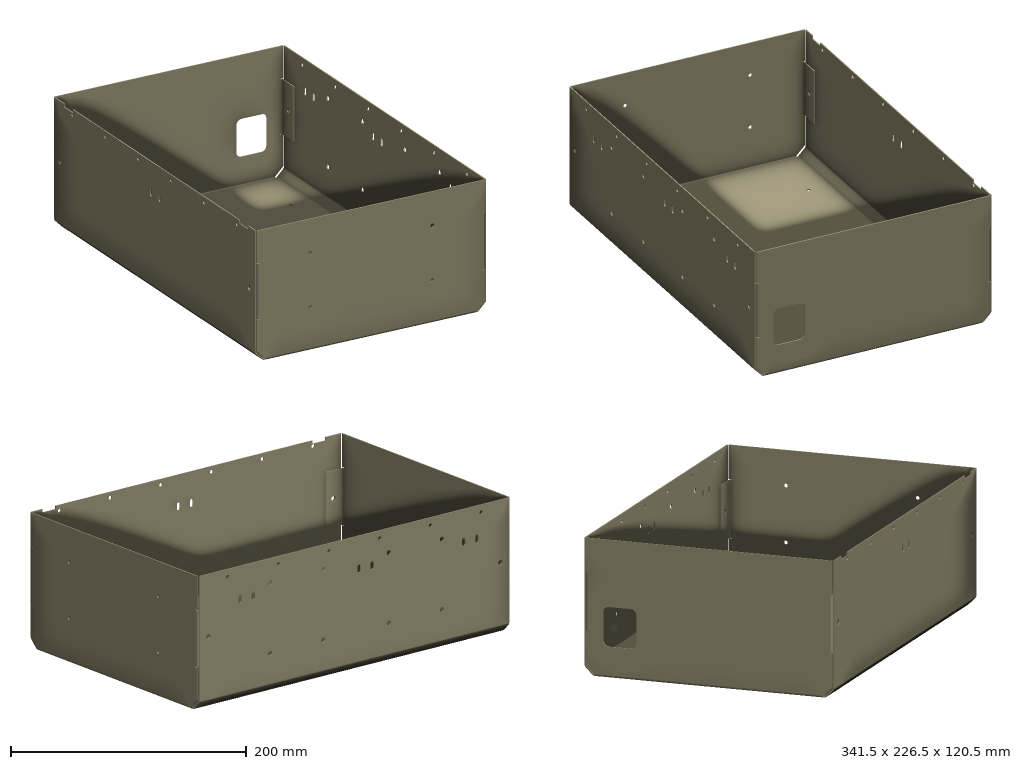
import cadquery as cq
import math

LENGTH = 341.5
WIDTH = 226.5
HEIGHT = 120.5
SHEET = 1.0

SLOPE_LEG = 8.0
TROUGH_INNER_BEND = 1.7
TROUGH_OUTER_BEND = TROUGH_INNER_BEND + SHEET
WALL_END_INSET = 1.5
TROUGH_LENGTH = LENGTH - 2 * WALL_END_INSET

PLATE_SIDE_INSET = 1.5
PLATE_SLOPE_GAP = 1.5
PLATE_INNER_BEND = 1.0
PLATE_OUTER_BEND = PLATE_INNER_BEND + SHEET
PLATE_HALF_WIDTH = WIDTH / 2 - PLATE_SIDE_INSET

TAB_REACH = 19.5
TAB_HEIGHT = 50.5
TAB_Z = HEIGHT - 56.0
RELIEF_HEIGHT = 0.7
RELIEF_DEPTH = 1.0
TAB_STUB = PLATE_OUTER_BEND + RELIEF_DEPTH
TAB_HOLE_X = 159.8
TAB_HOLE_DIAMETER = 4.8

HOLE_DIAMETER = 3.5
RIM_HOLE_COUNT = 6
RIM_HOLE_SPAN = 277.3
RIM_HOLE_PITCH = RIM_HOLE_SPAN / (RIM_HOLE_COUNT - 1)
FRONT_RIM_HOLE_Z = HEIGHT - 5.0
BACK_RIM_HOLE_Z = HEIGHT - 7.0
FLOOR_HOLES_X = 3
FLOOR_HOLES_Y = 2
FLOOR_HOLE_PITCH_X = 111.0
FLOOR_HOLE_PITCH_Y = 169.5
END_HOLE_Z = TAB_Z
END_HOLE_PITCH_Y = 119.5
END_HOLE_PITCH_Z = 50.0

MOUNT_HOLE_DIAMETER = 4.5
MOUNT_GROUP_X = (-66.5, 63.2)
MOUNT_PITCH_X = 58.0
MOUNT_Z = (HEIGHT - 22.0, HEIGHT - 84.7)

SLOT_WIDTH = 3.5
SLOT_HEIGHT = 7.2
SLOT_PITCH = 14.5
FRONT_SLOT_Z = HEIGHT - 28.5
BACK_SLOT_Z = HEIGHT - 29.5
FRONT_SLOT_PAIR_X = (1.5,)
BACK_SLOT_PAIR_X = (-126.7, -12.3, 117.8)

NOTCH_CENTERS_X = (-145.0, 150.0)
NOTCH_WIDTH = 14.7
NOTCH_DEPTH = 3.0

WINDOW_WIDTH = 30.0
WINDOW_HEIGHT = 35.0
WINDOW_RADIUS = 5.0
WINDOW_Y = WIDTH / 2 - 32.5
WINDOW_Z = HEIGHT - 76.0

CUT_DEPTH = 7.0
FRONT = -1
BACK = 1
SIDES = (FRONT, BACK)


def trough_section(inset):
    """Filled Y-Z outline of the trough, moved inward by the inset."""
    half = WIDTH / 2 - inset
    leg = SLOPE_LEG - inset * (2 - math.sqrt(2))
    return [
        (-half, HEIGHT),
        (-half, inset + leg),
        (-half + leg, inset),
        (half - leg, inset),
        (half, inset + leg),
        (half, HEIGHT),
    ]


def trough_solid(inset, bend_radius):
    section = cq.Workplane("YZ").polyline(trough_section(inset)).close()
    blank = section.extrude(TROUGH_LENGTH / 2, both=True)
    return blank.edges("|X and (not >Z)").fillet(bend_radius)


def make_trough():
    return trough_solid(0, TROUGH_OUTER_BEND).cut(trough_solid(SHEET, TROUGH_INNER_BEND))


def end_pan_solid(inset, bend_radius):
    block = cq.Workplane("XY").box(
        LENGTH - 2 * inset, 2 * PLATE_HALF_WIDTH, HEIGHT - inset, centered=(True, True, False)
    )
    return block.translate((0, 0, inset)).edges("|Y and <Z").fillet(bend_radius)


def make_end_pan():
    """Floor with both end plates folded up, lower corners trimmed clear of the slopes."""
    pan = end_pan_solid(0, PLATE_OUTER_BEND).cut(end_pan_solid(SHEET, PLATE_INNER_BEND))
    trim_leg = SLOPE_LEG + (SHEET + PLATE_SLOPE_GAP) * math.sqrt(2)
    for side in SIDES:
        corner = [
            (side * WIDTH / 2, 0),
            (side * (WIDTH / 2 - trim_leg), 0),
            (side * WIDTH / 2, trim_leg),
        ]
        pan = pan.cut(cq.Workplane("YZ").polyline(corner).close().extrude(LENGTH, both=True))
    return pan


def make_tab(end, side):
    """Bent tab at one upright corner, with the stub that joins it to the end plate."""
    x_outer = LENGTH / 2
    y_outer = PLATE_HALF_WIDTH
    section = (
        cq.Workplane("XY", origin=(0, 0, TAB_Z - TAB_HEIGHT / 2))
        .moveTo(x_outer, y_outer - TAB_STUB)
        .lineTo(x_outer, y_outer - PLATE_OUTER_BEND)
        .radiusArc((x_outer - PLATE_OUTER_BEND, y_outer), -PLATE_OUTER_BEND)
        .lineTo(x_outer - TAB_REACH, y_outer)
        .lineTo(x_outer - TAB_REACH, y_outer - SHEET)
        .lineTo(x_outer - PLATE_OUTER_BEND, y_outer - SHEET)
        .radiusArc((x_outer - SHEET, y_outer - PLATE_OUTER_BEND), PLATE_INNER_BEND)
        .lineTo(x_outer - SHEET, y_outer - TAB_STUB)
        .close()
    )
    tab = section.extrude(TAB_HEIGHT)
    if end < 0:
        tab = tab.mirror("YZ")
    if side < 0:
        tab = tab.mirror("XZ")
    return tab


def add_tabs(pan):
    relief_height = TAB_HEIGHT + 2 * RELIEF_HEIGHT
    relief = cq.Workplane("XY").box(2 * PLATE_OUTER_BEND, 2 * TAB_STUB, relief_height)
    for end in (-1, 1):
        for side in SIDES:
            pan = pan.cut(relief.translate((end * LENGTH / 2, side * PLATE_HALF_WIDTH, TAB_Z)))
            pan = pan.union(make_tab(end, side))
    return pan


def wall_plane(side, x=0, z=0):
    """X-Z plane through the front or back wall."""
    return cq.Workplane("XZ", origin=(x, side * WIDTH / 2, z))


def cut_wall_holes(body, side, z, pitch, count, diameter):
    """Row of round holes along one wall, centred on the part."""
    row = wall_plane(side, z=z).rarray(pitch, 3.5, count, 1)
    return body.cut(row.circle(diameter / 2).extrude(CUT_DEPTH, both=True))


def cut_slot_pairs(body, side, z, pair_centers):
    for x in pair_centers:
        pair = wall_plane(side, x, z).rarray(SLOT_PITCH, 3.5, 2, 1)
        body = body.cut(pair.slot2D(SLOT_HEIGHT, SLOT_WIDTH, 90).extrude(CUT_DEPTH, both=True))
    return body


def cut_mount_holes(body):
    for x in MOUNT_GROUP_X:
        for z in MOUNT_Z:
            holes = wall_plane(BACK, x, z).rarray(MOUNT_PITCH_X, 3.5, 2, 1)
            body = body.cut(holes.circle(MOUNT_HOLE_DIAMETER / 2).extrude(CUT_DEPTH, both=True))
    return body


def cut_floor_holes(body):
    plane = cq.Workplane("XY")
    holes = plane.rarray(FLOOR_HOLE_PITCH_X, FLOOR_HOLE_PITCH_Y, FLOOR_HOLES_X, FLOOR_HOLES_Y)
    return body.cut(holes.circle(HOLE_DIAMETER / 2).extrude(CUT_DEPTH))


def cut_end_holes(body):
    plane = cq.Workplane("YZ", origin=(LENGTH / 2, 0, END_HOLE_Z))
    holes = plane.rarray(END_HOLE_PITCH_Y, END_HOLE_PITCH_Z, 2, 2)
    return body.cut(holes.circle(HOLE_DIAMETER / 2).extrude(-CUT_DEPTH))


def cut_window(body):
    window = (
        cq.Workplane("YZ", origin=(-LENGTH / 2, WINDOW_Y, WINDOW_Z))
        .rect(WINDOW_WIDTH, WINDOW_HEIGHT)
        .extrude(CUT_DEPTH)
        .edges("|X")
        .fillet(WINDOW_RADIUS)
    )
    return body.cut(window)


def cut_rim_notches(body):
    for x in NOTCH_CENTERS_X:
        notch = wall_plane(FRONT, x, HEIGHT).rect(NOTCH_WIDTH, 2 * NOTCH_DEPTH).extrude(-SHEET)
        body = body.cut(notch)
    return body


result = make_trough().union(add_tabs(make_end_pan()))
result = cut_wall_holes(result, FRONT, FRONT_RIM_HOLE_Z, RIM_HOLE_PITCH, RIM_HOLE_COUNT, HOLE_DIAMETER)
result = cut_wall_holes(result, BACK, BACK_RIM_HOLE_Z, RIM_HOLE_PITCH, RIM_HOLE_COUNT, HOLE_DIAMETER)
for wall in SIDES:
    result = cut_wall_holes(result, wall, TAB_Z, 2 * TAB_HOLE_X, 2, TAB_HOLE_DIAMETER)
result = cut_slot_pairs(result, FRONT, FRONT_SLOT_Z, FRONT_SLOT_PAIR_X)
result = cut_slot_pairs(result, BACK, BACK_SLOT_Z, BACK_SLOT_PAIR_X)
result = cut_mount_holes(result)
result = cut_floor_holes(result)
result = cut_end_holes(result)
result = cut_window(result)
result = cut_rim_notches(result)